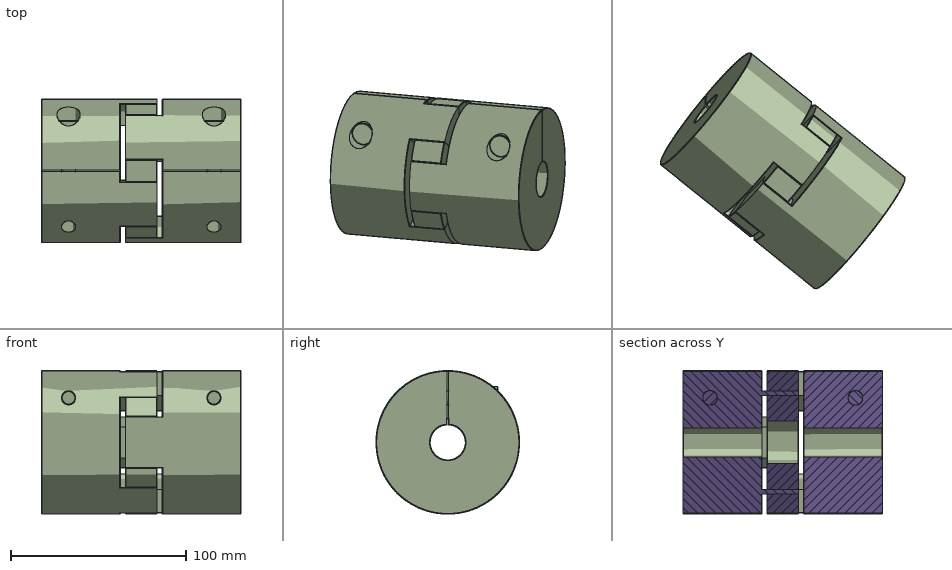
import cadquery as cq
import math

length = 114.0
outer_diameter = 82.0
outer_radius = outer_diameter / 2
bore_radius = 10.0
edge_chamfer = 0.3
tolerance = 0.01

hub_face = 12.0
jaw_tip = 9.0
spider_half_width = jaw_tip

jaw_count = 3
arm_count = 2 * jaw_count
jaw_pitch = 360 / jaw_count
arm_pitch = 360 / arm_count
ring_radius = 27.4
spider_hole_radius = 13.5
arm_half_width_outer = 6.4
arm_half_width_inner = 5.2
arm_bulge = 0.8

slit_width = 1.0
screw_x = 41.5
screw_z = 25.4
thread_radius = 4.0
head_radius = 6.5
head_end_y = 28.7
head_length = 8.0
head_chamfer = 0.5
tip_chamfer = 0.3
counterbore_radius = 6.6
screw_tip_y = -25.1

head_seat_y = head_end_y - head_length
hub_length = length / 2 - hub_face


def cylinder_x(radius, start, end):
    """Round bar on the X axis from x = start to x = end."""
    plane = cq.Plane(origin=(start, 0, 0), xDir=(0, 0, 1), normal=(1, 0, 0))
    return cq.Workplane(plane).circle(radius).extrude(end - start)


def cylinder_y(radius, start, end, x):
    """Round bar on the screw axis of the hub at x, from y = start to y = end."""
    plane = cq.Plane(origin=(x, start, screw_z), xDir=(1, 0, 0), normal=(0, 1, 0))
    return cq.Workplane(plane).circle(radius).extrude(end - start)


def arm_bars(start, end):
    """Six bars with rounded sides that reach out from the ring radius."""
    inner_z = math.sqrt(ring_radius**2 - arm_half_width_inner**2)
    outer_z = math.sqrt(outer_radius**2 - arm_half_width_outer**2)
    chord_y = arm_half_width_outer - arm_half_width_inner
    chord_z = outer_z - inner_z
    chord = math.hypot(chord_y, chord_z)
    middle_y = (arm_half_width_outer + arm_half_width_inner) / 2 + arm_bulge * chord_z / chord
    middle_z = (outer_z + inner_z) / 2 - arm_bulge * chord_y / chord
    bar = (
        cq.Workplane("YZ", origin=(start, 0, 0))
        .moveTo(-arm_half_width_inner, inner_z)
        .threePointArc((-middle_y, middle_z), (-arm_half_width_outer, outer_z))
        .threePointArc((0, outer_radius), (arm_half_width_outer, outer_z))
        .threePointArc((middle_y, middle_z), (arm_half_width_inner, inner_z))
        .threePointArc((0, ring_radius), (-arm_half_width_inner, inner_z))
        .close()
        .extrude(end - start)
    )
    return [bar.rotate((0, 0, 0), (1, 0, 0), i * arm_pitch) for i in range(arm_count)]


def is_on_outside(edge):
    """True for an edge whose middle and ends all lie on the outer cylinder."""
    points = [edge.positionAt(t) for t in (0, 0.5, 1)]
    return all(abs(math.hypot(p.y, p.z) - outer_radius) < tolerance for p in points)


def chamfer_outside(body, start, end):
    """Chamfer the outer edges whose middle lies between x = start and x = end."""
    solid = body.val()
    edges = [e for e in solid.Edges() if is_on_outside(e) and start <= e.positionAt(0.5).x <= end]
    return cq.Workplane(solid.chamfer(edge_chamfer, None, edges))


def make_jaws(first_angle):
    """Three jaws on the left hub; first_angle is measured about X from +Y."""
    tube = cylinder_x(outer_radius, -hub_face, jaw_tip).cut(cylinder_x(ring_radius, -hub_face, jaw_tip))
    for bar in arm_bars(-hub_face, jaw_tip):
        tube = tube.cut(bar)
    jaws = []
    for i in range(jaw_count):
        angle = math.radians(first_angle + i * jaw_pitch)
        direction = cq.Vector(0, math.cos(angle), math.sin(angle))
        jaws.append(max(tube.solids().vals(), key=lambda jaw: jaw.Center().dot(direction)))
    return jaws


def make_hub(first_jaw_angle):
    """Left clamping hub with its bore, slit, jaws and screw hole."""
    hub = cylinder_x(outer_radius, -length / 2, -hub_face)
    for jaw in make_jaws(first_jaw_angle):
        hub = hub.union(cq.Workplane(jaw))
    hub = chamfer_outside(hub, -hub_face - tolerance, jaw_tip - tolerance)
    hub = hub.cut(cylinder_x(bore_radius, -length / 2, -hub_face))
    hub = hub.faces("<X").edges().chamfer(edge_chamfer)
    slit = (
        cq.Workplane("XY")
        .box(hub_length, slit_width, outer_radius, centered=(False, True, False))
        .translate((-length / 2, 0, 0))
    )
    hub = hub.cut(slit)
    hub = hub.cut(cylinder_y(thread_radius, -outer_radius, head_seat_y, -screw_x))
    return hub.cut(cylinder_y(counterbore_radius, head_seat_y, outer_radius, -screw_x))


def make_spider():
    """Elastic ring with six chamfered arms that fill the spaces between the jaws."""
    spider = cylinder_x(ring_radius, -spider_half_width, spider_half_width)
    for bar in arm_bars(-spider_half_width, spider_half_width):
        spider = spider.union(chamfer_outside(bar, -spider_half_width, spider_half_width))
    hole = cylinder_x(spider_hole_radius, -spider_half_width, spider_half_width)
    return spider.cut(hole).edges(cq.selectors.RadiusNthSelector(0)).chamfer(edge_chamfer)


def make_screw(x):
    """Cap screw along Y with its head at the +Y end."""
    head = cylinder_y(head_radius, head_seat_y, head_end_y, x).faces(">Y").edges().chamfer(head_chamfer)
    thread = cylinder_y(thread_radius, screw_tip_y, head_seat_y, x).faces("<Y").edges().chamfer(tip_chamfer)
    return head.union(thread)


left_hub = make_hub(0)
right_hub = make_hub(arm_pitch).mirror("YZ")
spider = make_spider()
screws = [make_screw(x) for x in (-screw_x, screw_x)]

result = cq.Compound.makeCompound(
    [left_hub.val(), right_hub.val(), spider.val(), *[screw.val() for screw in screws]]
)